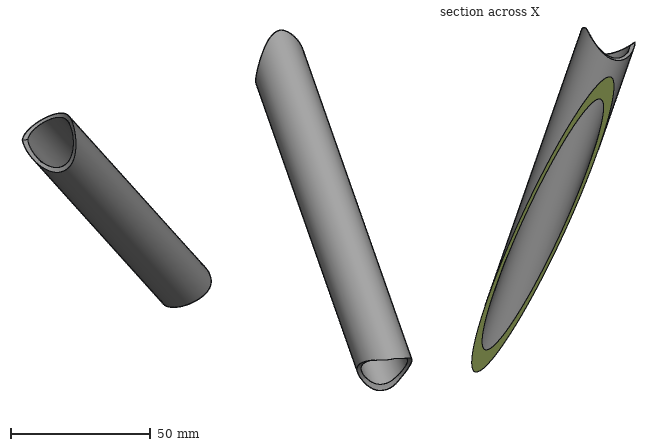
import cadquery as cq

TUBE_DIAMETER = 20.0
WALL = 1.5
TOP_NODE = cq.Vector(12.5, -32.1, 72.3)
BOTTOM_NODE = TOP_NODE * -1

MATING_DIAMETER = 25.0
MATING_HALF_LENGTH = 55.6
LEVEL_DIRECTION = cq.Vector(1, 0, 0)
TOP_SLOPING_DIRECTION = cq.Vector(1, 0, -0.91)
BOTTOM_SLOPING_DIRECTION = cq.Vector(1, -0.15, -0.22)


def rod(start, end, diameter):
    """Solid round bar from one point to another."""
    axis = end - start
    return cq.Workplane(cq.Solid.makeCylinder(diameter / 2, axis.Length, start, axis))


def mating_tube(node, direction):
    """Outer envelope of a neighbouring tube passing through a joint centre."""
    reach = direction.normalized() * MATING_HALF_LENGTH
    return rod(node - reach, node + reach, MATING_DIAMETER)


tube = rod(BOTTOM_NODE, TOP_NODE, TUBE_DIAMETER)
tube = tube.cut(rod(BOTTOM_NODE, TOP_NODE, TUBE_DIAMETER - 2 * WALL))

tube = tube.cut(mating_tube(TOP_NODE, LEVEL_DIRECTION))
tube = tube.cut(mating_tube(TOP_NODE, TOP_SLOPING_DIRECTION))

bottom_saddle = mating_tube(BOTTOM_NODE, LEVEL_DIRECTION).intersect(
    mating_tube(BOTTOM_NODE, BOTTOM_SLOPING_DIRECTION)
)
tube = tube.cut(bottom_saddle)

result = cq.Workplane(tube.solids().val())